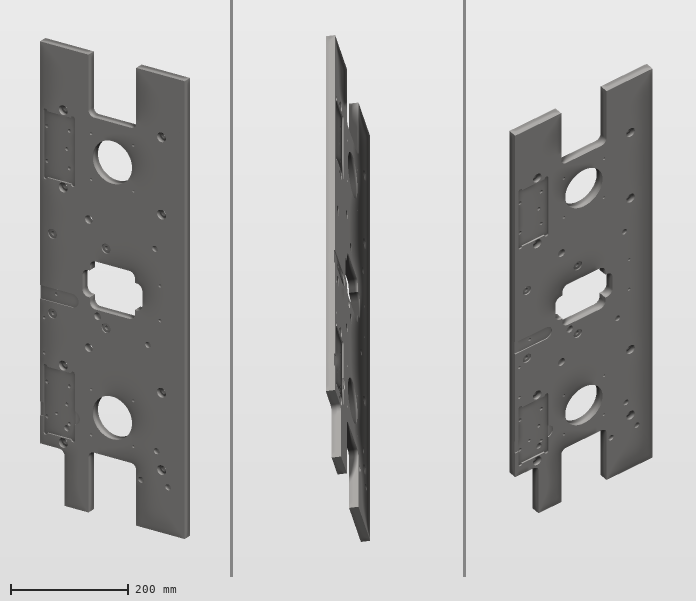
import cadquery as cq

WIDTH = 295.0
THICKNESS = 16.0
HEIGHT = 860.0
FRONT = -THICKNESS / 2

END_SLOT_WIDTH = 97.0
END_SLOT_DEPTH = 115.0
CORNER_RADIUS = 11.0
NOTCH_WIDTH = 50.0
NOTCH_HEIGHT = 105.0

STATION_Z = 240.0
BORE_DIAMETER = 80.0
BORE_SCREW_SPACING = 86.0
BORE_SCREW_DIAMETER = 5.0

WINDOW_TALL_WIDTH = 92.0
WINDOW_TALL_HEIGHT = 90.0
WINDOW_WIDE_WIDTH = 122.0
WINDOW_WIDE_HEIGHT = 51.0
WINDOW_RADIUS = 12.0

COUNTERBORE_DIAMETER = 18.0
STATION_COUNTERBORE_DEPTH = 9.0
MIDDLE_COUNTERBORE_DEPTH = 3.0
STATION_BOLT_DIAMETER = 11.0
STATION_BOLT_SPACING_X = 200.0
STATION_BOLT_SPACING_Z = 145.0
MIDDLE_BOLT_DIAMETER = 8.0
MIDDLE_BOLT_XS = (-122.0, -13.0)
MIDDLE_BOLT_Z = 75.0

POCKET_LEFT = -140.0
POCKET_WIDTH = 64.0
POCKET_HEIGHT = 125.0
POCKET_DEPTH = 3.0
RELIEF_RADIUS = 3.9
POCKET_SCREW_DIAMETER = 7.0
POCKET_LEFT_SCREW_X = -135.0
POCKET_LEFT_SCREW_SPACING = 65.0
POCKET_RIGHT_SCREW_X = -89.5
POCKET_RIGHT_SCREW_SPACING = 70.5
POCKET_MIDDLE_SCREW_X = -95.0

GROOVE_WIDTH = 26.0
GROOVE_DEPTH = 2.0
GROOVES = ((-40.0, -69.0), (-260.0, -66.0))

PLAIN_HOLES = {
    15.5: ((-48.0, 120.0), (-48.0, -120.0)),
    14.0: ((-30.0, -57.0),),
    11.0: ((87.0, 100.0), (72.0, -84.0), (90.0, -279.5), (58.5, -341.0), (113.5, -341.0), (-95.0, -285.0)),
    6.0: (
        (97.0, 33.0),
        (97.0, -33.0),
        (-138.5, -87.0),
        (-138.5, -153.0),
        (-115.0, -38.0),
        (-115.0, -262.0),
    ),
}


def block(width, height, x, z, depth=THICKNESS):
    """Box centred on (x, z) that reaches from the front face to the given depth."""
    return cq.Workplane("XY").box(width, depth, height).translate((x, FRONT + depth / 2, z))


def cylinders(diameter, centres, depth=THICKNESS):
    """Round cutters at the (x, z) centres, from the front face to the given depth."""
    plane = cq.Workplane("XZ", origin=(0, FRONT, 0))
    return plane.pushPoints(centres).circle(diameter / 2).extrude(-depth)


def rectangle_points(spacing_x, spacing_z, x, z):
    """The four corners of a rectangle centred on (x, z)."""
    return [(x + i * spacing_x / 2, z + j * spacing_z / 2) for i in (-1, 1) for j in (-1, 1)]


def plate():
    """Plate with a slot in each end and a notched lower left corner."""
    body = block(WIDTH, HEIGHT, 0, 0)
    for side in (1, -1):
        slot = block(END_SLOT_WIDTH, END_SLOT_DEPTH, 0, side * (HEIGHT - END_SLOT_DEPTH) / 2)
        inner_edges = "|Y and <Z" if side > 0 else "|Y and >Z"
        body = body.cut(slot.edges(inner_edges).fillet(CORNER_RADIUS))
    notch = block(NOTCH_WIDTH, NOTCH_HEIGHT, (NOTCH_WIDTH - WIDTH) / 2, (NOTCH_HEIGHT - HEIGHT) / 2)
    return body.cut(notch.edges("|Y and >X and >Z").fillet(CORNER_RADIUS))


def window():
    """Cross-shaped opening made of two rounded rectangles."""
    tall = block(WINDOW_TALL_WIDTH, WINDOW_TALL_HEIGHT, 0, 0).edges("|Y").fillet(WINDOW_RADIUS)
    wide = block(WINDOW_WIDE_WIDTH, WINDOW_WIDE_HEIGHT, 0, 0).edges("|Y").fillet(WINDOW_RADIUS)
    return tall.union(wide)


def cut_counterbored(body, diameter, centres, depth):
    """Cut through holes with counterbores in the front face."""
    body = body.cut(cylinders(diameter, centres))
    return body.cut(cylinders(COUNTERBORE_DIAMETER, centres, depth))


def pocket(z):
    """Rectangular pocket whose relief circles touch its sides and stand out above and below."""
    x = POCKET_LEFT + POCKET_WIDTH / 2
    recess = block(POCKET_WIDTH, POCKET_HEIGHT, x, z, POCKET_DEPTH)
    centres = rectangle_points(POCKET_WIDTH - 2 * RELIEF_RADIUS, POCKET_HEIGHT, x, z)
    return recess.union(cylinders(2 * RELIEF_RADIUS, centres, POCKET_DEPTH))


def groove(z, end_x):
    """Groove from the left edge to a round end at end_x."""
    left = -WIDTH / 2
    end_centre = end_x - GROOVE_WIDTH / 2
    channel = block(end_centre - left, GROOVE_WIDTH, (end_centre + left) / 2, z, GROOVE_DEPTH)
    return channel.union(cylinders(GROOVE_WIDTH, [(end_centre, z)], GROOVE_DEPTH))


def pocket_screws(z):
    """Centres of the five screw holes in a pocket."""
    centres = [(POCKET_MIDDLE_SCREW_X, z)]
    for side in (-1, 1):
        centres.append((POCKET_LEFT_SCREW_X, z + side * POCKET_LEFT_SCREW_SPACING / 2))
        centres.append((POCKET_RIGHT_SCREW_X, z + side * POCKET_RIGHT_SCREW_SPACING / 2))
    return centres


def cut_station(body, z):
    """Cut the large bore, its screws, the bolts around it and the pocket beside it."""
    bore_screws = rectangle_points(BORE_SCREW_SPACING, BORE_SCREW_SPACING, 0, z)
    bolts = rectangle_points(STATION_BOLT_SPACING_X, STATION_BOLT_SPACING_Z, 0, z)
    body = body.cut(cylinders(BORE_DIAMETER, [(0, z)]))
    body = body.cut(cylinders(BORE_SCREW_DIAMETER, bore_screws))
    body = body.cut(pocket(z))
    body = body.cut(cylinders(POCKET_SCREW_DIAMETER, pocket_screws(z)))
    return cut_counterbored(body, STATION_BOLT_DIAMETER, bolts, STATION_COUNTERBORE_DEPTH)


result = plate().cut(window())
for groove_z, groove_end in GROOVES:
    result = result.cut(groove(groove_z, groove_end))
for station_z in (STATION_Z, -STATION_Z):
    result = cut_station(result, station_z)
middle_bolts = [(x, z) for x in MIDDLE_BOLT_XS for z in (MIDDLE_BOLT_Z, -MIDDLE_BOLT_Z)]
result = cut_counterbored(result, MIDDLE_BOLT_DIAMETER, middle_bolts, MIDDLE_COUNTERBORE_DEPTH)
for hole_diameter, hole_centres in PLAIN_HOLES.items():
    result = result.cut(cylinders(hole_diameter, hole_centres))